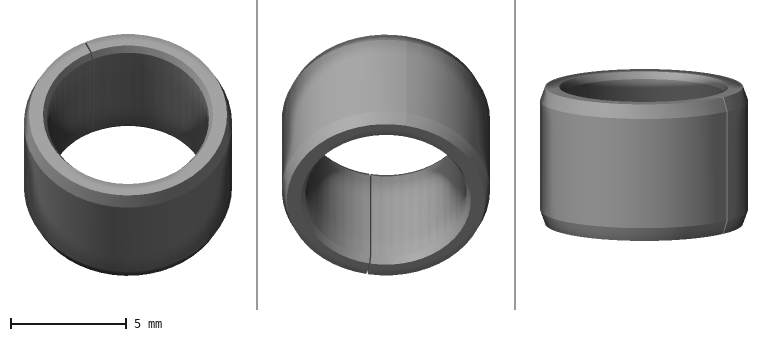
import cadquery as cq
import math

outer_diameter = 9.0
bore_diameter = 7.0
length = 6.0
outer_chamfer_length = 0.6
outer_chamfer_angle = 20.0
inner_chamfer_length = 0.3
inner_chamfer_angle = 30.0
slit_angle = 1.0

outer_radius = outer_diameter / 2
bore_radius = bore_diameter / 2
outer_chamfer_depth = outer_chamfer_length * math.tan(math.radians(outer_chamfer_angle))
inner_chamfer_depth = inner_chamfer_length * math.tan(math.radians(inner_chamfer_angle))


def make_bush():
    """Revolve the wall section, chamfered at all four corners, about Z."""
    rim_outer = outer_radius - outer_chamfer_depth
    rim_inner = bore_radius + inner_chamfer_depth
    section = [
        (rim_inner, 0),
        (rim_outer, 0),
        (outer_radius, outer_chamfer_length),
        (outer_radius, length - outer_chamfer_length),
        (rim_outer, length),
        (rim_inner, length),
        (bore_radius, length - inner_chamfer_length),
        (bore_radius, inner_chamfer_length),
    ]
    return cq.Workplane("XZ").polyline(section).close().revolve(360, (0, 0), (0, 1))


def make_slit():
    """Full-length radial wedge on the -X side, opening from the XZ plane toward +Y."""
    reach = outer_diameter
    opening = reach * math.tan(math.radians(slit_angle))
    wedge = [(0, 0), (-reach, 0), (-reach, opening)]
    return cq.Workplane("XY").polyline(wedge).close().extrude(length)


result = make_bush().cut(make_slit())